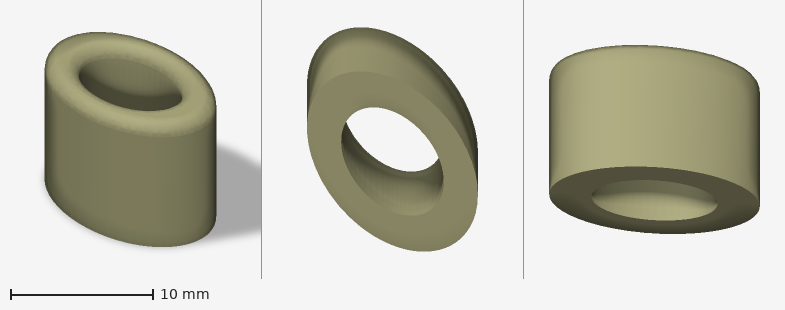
import cadquery as cq

outer_length = 15.0
outer_width = 10.0
bore_length = 9.0
bore_width = 6.0
height = 10.0

rim_clearance = 0.01
wall = (outer_width - bore_width) / 2
rounding = wall / 2 - rim_clearance


def oval_prism(length, width):
    """Upright elliptical prism standing on the XY plane."""
    return cq.Workplane("XY").ellipse(length / 2, width / 2).extrude(height)


def rounded_sleeve():
    """Oval tube with the outer and bore edges of its top face rounded."""
    tube = oval_prism(outer_length, outer_width).cut(oval_prism(bore_length, bore_width))
    return tube.faces(">Z").edges().fillet(rounding)


result = rounded_sleeve()